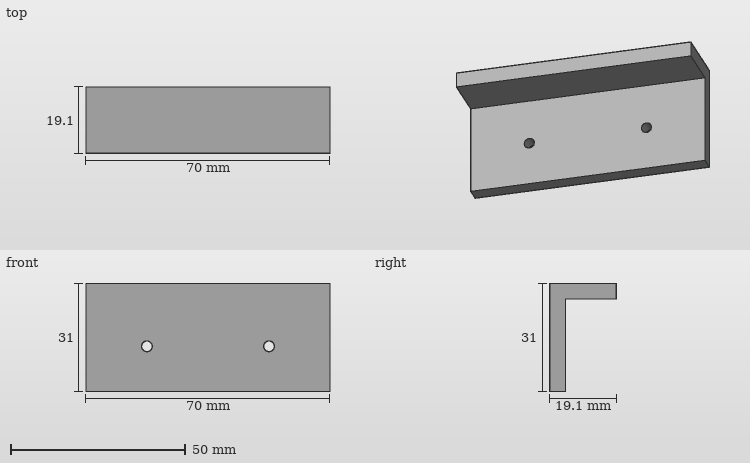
import cadquery as cq

length = 70.0
depth = 19.08
height = 31.0

plate_thickness = 4.58
flange_thickness = 4.5

hole_diameter = 3.0
hole_spacing = length / 2
hole_height = 13.0


def angle_bracket():
    """Upright plate on the front face with a flange running back from its top edge."""
    plate = cq.Workplane("XY").box(length, plate_thickness, height, centered=(True, False, False))
    flange = (
        cq.Workplane("XY")
        .workplane(offset=height - flange_thickness)
        .box(length, depth, flange_thickness, centered=(True, False, False))
    )
    return plate.union(flange)


def mounting_holes():
    """Two cylinders along Y, spaced evenly about the middle of the plate."""
    return (
        cq.Workplane("XZ")
        .pushPoints([(side * hole_spacing / 2, hole_height) for side in (-1, 1)])
        .circle(hole_diameter / 2)
        .extrude(-plate_thickness)
    )


result = angle_bracket().cut(mounting_holes())